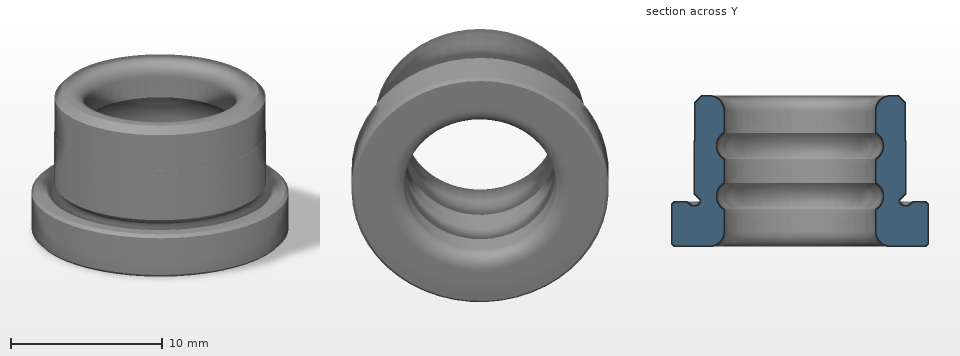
import cadquery as cq
import math

flange_radius = 8.5
flange_height = 3.0
flange_chamfer = 0.2

total_height = 10.0
shank_radius = 7.0
lead_radius = 6.98
lead_start = 7.0
top_chamfer = 0.48

neck_depth = 0.4
neck_taper_start = 0.5
floor_depth = 0.27
floor_slope_outer = 0.5
floor_slope_run = 0.34
neck_fillet = 0.35

bore_radius = 5.0
mouth_radius = 1.0
groove_count = 2
groove_arc_radius = 1.0
groove_depth = 0.5


def outer_blank():
    """Revolve the outside outline, including flange, undercut and body."""
    neck_radius = shank_radius - neck_depth
    floor_height = flange_height - floor_depth
    slope_outer_radius = shank_radius + floor_slope_outer
    fillet_inset = neck_fillet * (1 - math.sin(math.pi / 4))
    outline = (
        cq.Workplane("XZ")
        .moveTo(0, 0)
        .lineTo(flange_radius - flange_chamfer, 0)
        .lineTo(flange_radius, flange_chamfer)
        .lineTo(flange_radius, flange_height - flange_chamfer)
        .lineTo(flange_radius - flange_chamfer, flange_height)
        .lineTo(slope_outer_radius, flange_height)
        .lineTo(slope_outer_radius - floor_slope_run, floor_height)
        .lineTo(neck_radius + neck_fillet, floor_height)
        .threePointArc(
            (neck_radius + fillet_inset, floor_height + fillet_inset),
            (neck_radius, floor_height + neck_fillet),
        )
        .lineTo(neck_radius, flange_height + neck_taper_start - neck_depth)
        .lineTo(shank_radius, flange_height + neck_taper_start)
        .lineTo(shank_radius, lead_start)
        .lineTo(lead_radius, lead_start)
        .lineTo(lead_radius, total_height - top_chamfer)
        .lineTo(lead_radius - top_chamfer, total_height)
        .lineTo(0, total_height)
        .close()
    )
    return outline.revolve(360, (0, 0, 0), (0, 1, 0))


def bore_cutter():
    """Revolve the bore outline, from the bottom mouth up to the top mouth."""
    groove_pitch = total_height / (groove_count + 1)
    groove_half_width = math.sqrt(groove_depth * (2 * groove_arc_radius - groove_depth))
    mouth_edge = bore_radius + mouth_radius
    mouth_mid = mouth_edge - mouth_radius * math.sin(math.pi / 4)
    mouth_mid_depth = mouth_radius * (1 - math.sin(math.pi / 4))

    outline = (
        cq.Workplane("XZ")
        .moveTo(0, 0)
        .lineTo(mouth_edge, 0)
        .threePointArc((mouth_mid, mouth_mid_depth), (bore_radius, mouth_radius))
    )
    for number in range(1, groove_count + 1):
        center_height = number * groove_pitch
        outline = outline.lineTo(bore_radius, center_height - groove_half_width).threePointArc(
            (bore_radius + groove_depth, center_height),
            (bore_radius, center_height + groove_half_width),
        )
    outline = (
        outline.lineTo(bore_radius, total_height - mouth_radius)
        .threePointArc((mouth_mid, total_height - mouth_mid_depth), (mouth_edge, total_height))
        .lineTo(0, total_height)
        .close()
    )
    return outline.revolve(360, (0, 0, 0), (0, 1, 0))


result = outer_blank().cut(bore_cutter())